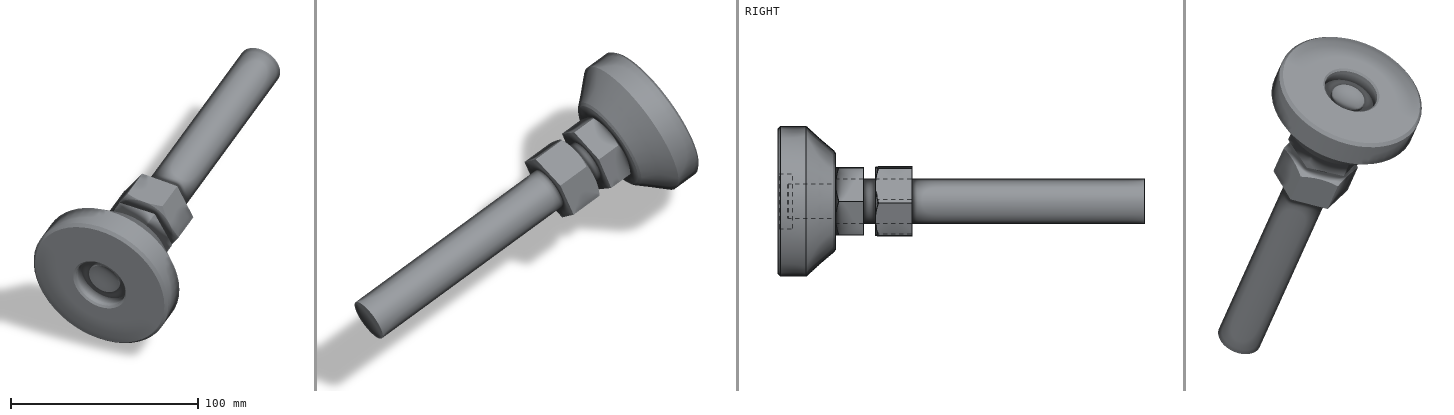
import cadquery as cq
import math

total_length = 196.0

foot_radius = 40.0
foot_height = 31.0
foot_rim_height = 15.0
foot_bottom_chamfer = 1.5
foot_shoulder_radius = 26.9
foot_shoulder_height = 30.0
foot_top_radius = 25.3
recess_radius = 14.7
recess_depth = 7.8
recess_chamfer = 1.0

rod_radius = 12.0
tip_radius = 9.2
tip_chamfer = 0.4
tip_protrusion = 2.5

across_flats = 36.0
nut_chamfer_angle = 30.0
lower_nut_height = 14.9
upper_nut_height = 19.6
upper_nut_start = 52.1
upper_nut_turn = 2.5

tip_end = recess_depth - tip_protrusion


def cylinder_along_y(radius, start, length):
    """Cylinder on the Y axis, running from y = start towards +Y."""
    circle = cq.Workplane("XZ", origin=(0, start, 0)).circle(radius)
    return circle.extrude(-length)


def revolve_profile(points):
    """Turn a closed (radius, y) profile about the Y axis."""
    return cq.Workplane("XY").polyline(points).close().revolve(360, (0, 0, 0), (0, 1, 0))


def make_rod():
    shank = cylinder_along_y(rod_radius, foot_height, total_length - foot_height)
    tip = cylinder_along_y(tip_radius, tip_end, foot_height - tip_end)
    tip = tip.faces("<Y").chamfer(tip_chamfer)
    return shank.union(tip)


def make_foot():
    body = revolve_profile([
        (0, 0),
        (foot_radius - foot_bottom_chamfer, 0),
        (foot_radius, foot_bottom_chamfer),
        (foot_radius, foot_rim_height),
        (foot_shoulder_radius, foot_shoulder_height),
        (foot_top_radius, foot_height),
        (0, foot_height),
    ])
    recess = revolve_profile([
        (0, 0),
        (recess_radius + recess_chamfer, 0),
        (recess_radius, recess_chamfer),
        (recess_radius, recess_depth),
        (0, recess_depth),
    ])
    rod_hole = cylinder_along_y(tip_radius, 0, foot_height)
    return body.cut(recess).cut(rod_hole)


def make_nut(start, height, turn):
    """Hexagon nut from y = start, turned about Y, with its -Y corners chamfered."""
    corner_radius = across_flats / math.sqrt(3)
    face_radius = across_flats / 2
    chamfer_rise = (corner_radius - face_radius) * math.tan(math.radians(nut_chamfer_angle))
    hexagon = cq.Workplane("XZ", origin=(0, start, 0)).polygon(6, 2 * corner_radius).extrude(-height)
    hexagon = hexagon.rotate((0, 0, 0), (0, 1, 0), turn)
    chamfer_envelope = revolve_profile([
        (0, start),
        (face_radius, start),
        (corner_radius, start + chamfer_rise),
        (corner_radius, start + height),
        (0, start + height),
    ])
    bore = cylinder_along_y(rod_radius, start, height)
    return hexagon.intersect(chamfer_envelope).cut(bore)


foot = make_foot()
rod = make_rod()
nut_placements = [
    (foot_height, lower_nut_height, 0),
    (upper_nut_start, upper_nut_height, upper_nut_turn),
]
nuts = [make_nut(start, height, turn) for start, height, turn in nut_placements]

result = cq.Compound.makeCompound([foot.val(), rod.val(), *[nut.val() for nut in nuts]])